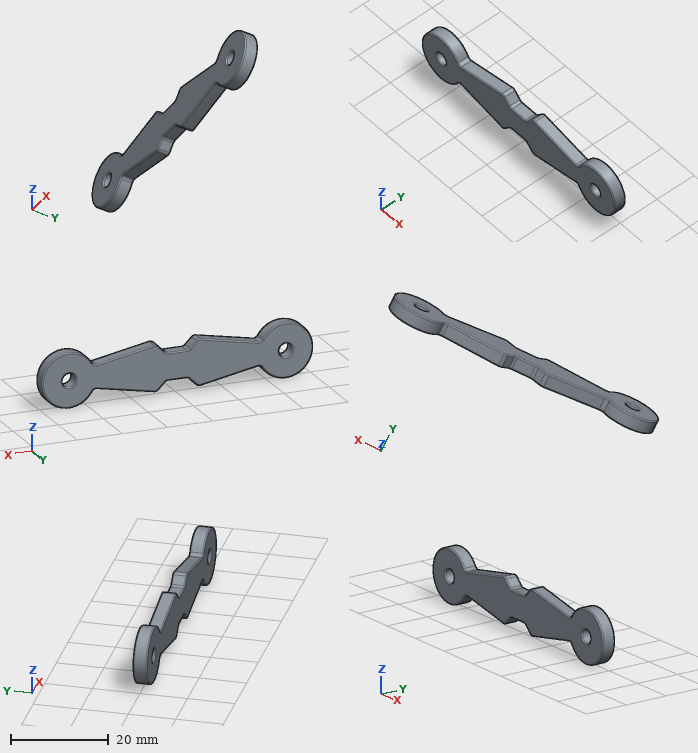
import cadquery as cq

length = 60.0
thickness = 3.0
eye_diameter = 12.0
bore_diameter = 3.0
edge_radius = 0.27
corner_radius = 1.0

waist_half_length = 2.45
waist_half_height = 3.0
shoulder_rise = 2.15
root_half_height = 1.45

eye_radius = eye_diameter / 2
eye_offset = length / 2 - eye_radius
peak_x = waist_half_length + shoulder_rise
peak_z = waist_half_height + shoulder_rise
eye_centers = [(-eye_offset, 0), (eye_offset, 0)]


def centered_plate(sketch):
    """Extrude an XZ outline so that the plate is centred on Y = 0."""
    return sketch.extrude(thickness / 2, both=True)


def make_bar():
    """Bar that widens from each eye to a shoulder and narrows at the waist."""
    right_upper = [
        (waist_half_length, waist_half_height),
        (peak_x, peak_z),
        (eye_offset, root_half_height),
    ]
    right_lower = [(x, -z) for x, z in reversed(right_upper)]
    right_side = right_upper + right_lower
    left_side = [(-x, -z) for x, z in right_side]
    return centered_plate(cq.Workplane("XZ").polyline(right_side + left_side).close())


def round_corners(body):
    """Round the outline corners between the two eye centres."""
    corner_zone = cq.selectors.BoxSelector(
        (-eye_offset + corner_radius, -thickness, -eye_radius),
        (eye_offset - corner_radius, thickness, eye_radius),
    )
    upright_edges = cq.selectors.ParallelDirSelector(cq.Vector(0, 1, 0))
    corners = cq.selectors.AndSelector(corner_zone, upright_edges)
    return body.edges(corners).fillet(corner_radius)


eyes = centered_plate(cq.Workplane("XZ").pushPoints(eye_centers).circle(eye_radius))
bores = centered_plate(cq.Workplane("XZ").pushPoints(eye_centers).circle(bore_diameter / 2))

link = round_corners(make_bar().union(eyes)).cut(bores)

result = link.faces("|Y").edges().fillet(edge_radius)